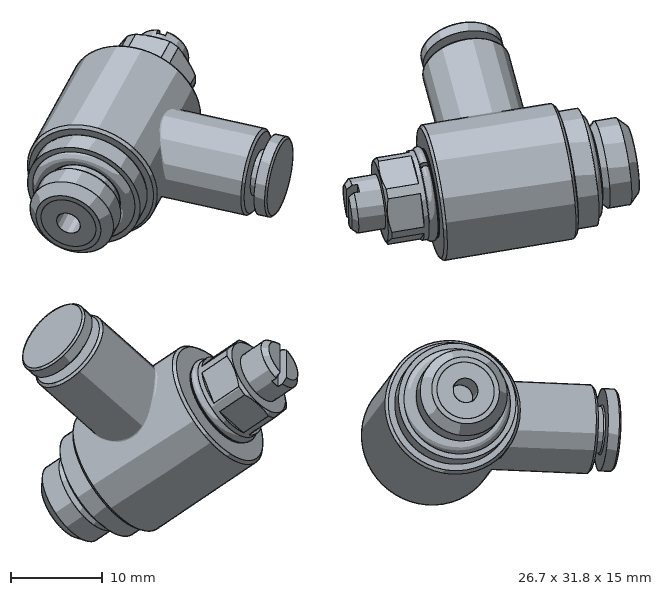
import cadquery as cq
import math


overall_length = 31.75
overall_width = 26.7

barrel_radius = 15.0 / 2
barrel_half_length = 7.5
barrel_chamfer = 0.32

flange_radius = 6.5
flange_chamfer = 0.15
flange_bottom_y = -9.97
oring_outer_radius = 5.9
oring_inner_radius = 4.22
oring_bottom_y = -10.63

neck_radius = 4.15
neck_bottom_y = -10.9
thread_radius = 4.82
thread_lead_in = thread_radius - neck_radius
thread_end_y = -15.05
thread_end_chamfer = 1.08

arm_radius = 4.85
arm_end_x = 16.63
arm_chamfer = 0.3
arm_root_fillet = 0.2
collar_neck_radius = 2.57
collar_neck_chamfer = 0.15
collar_radius = 4.5
collar_start_x = 17.75
collar_end_x = overall_width - barrel_radius
collar_chamfer = 0.22

core_radius = 3.17
core_hole_radius = 1.35
core_hole_depth = 3.17
shoulder_radius = 4.95
shoulder_top_y = 9.2
ring_wire_radius = 0.48
ring_center_radius = 4.75
ring_center_y = 8.13
ring_gap = 0.48
groove_width = 1.05
groove_floor_radius = 4.45
hex_apothem = 4.55
hex_top_y = 13.1
hex_chamfer_length = 0.3
hex_chamfer_depth = 0.5
screw_radius = 3.0
screw_chamfer = 0.6
screw_top_y = thread_end_y + overall_length
slot_width = 1.05
slot_depth = 1.2


def cylinder_y(radius, start_y, end_y):
    """Cylinder on the main axis, from start_y to the higher end_y."""
    base = cq.Workplane("XZ", origin=(0, start_y, 0))
    return base.circle(radius).extrude(start_y - end_y)


def make_seal_and_thread():
    """Flange, half-exposed O-ring, undercut neck and threaded end as one turned shape."""
    flange_top_y = -barrel_half_length
    oring_lowest = ((oring_inner_radius + oring_outer_radius) / 2, oring_bottom_y)
    profile = (
        cq.Workplane("XY")
        .moveTo(0, thread_end_y)
        .lineTo(thread_radius - thread_end_chamfer, thread_end_y)
        .lineTo(thread_radius, thread_end_y + thread_end_chamfer)
        .lineTo(thread_radius, neck_bottom_y - thread_lead_in)
        .lineTo(neck_radius, neck_bottom_y)
        .lineTo(neck_radius, flange_bottom_y)
        .lineTo(oring_inner_radius, flange_bottom_y)
        .threePointArc(oring_lowest, (oring_outer_radius, flange_bottom_y))
        .lineTo(flange_radius, flange_bottom_y)
        .lineTo(flange_radius, flange_top_y - flange_chamfer)
        .lineTo(flange_radius - flange_chamfer, flange_top_y)
        .lineTo(0, flange_top_y)
        .close()
    )
    return profile.revolve(360, (0, 0, 0), (0, 1, 0))


def make_barrel_with_arm():
    """Barrel and tube arm, with a small fillet where the arm leaves the barrel."""
    barrel = cylinder_y(barrel_radius, -barrel_half_length, barrel_half_length)
    barrel = barrel.faces("<Y or >Y").chamfer(barrel_chamfer)
    arm = cq.Workplane("YZ").circle(arm_radius).extrude(arm_end_x)
    arm = arm.faces(">X").chamfer(arm_chamfer)
    margin = 2 * arm_root_fillet
    root_box = cq.selectors.BoxSelector(
        (0, -arm_radius - margin, -arm_radius - margin),
        (barrel_radius + margin, arm_radius + margin, arm_radius + margin),
        boundingbox=True,
    )
    return barrel.union(arm).edges(root_box).fillet(arm_root_fillet)


def make_release_collar():
    """Narrow neck and disc at the end of the arm."""
    profile = (
        cq.Workplane("XY")
        .moveTo(arm_end_x, 0)
        .lineTo(arm_end_x, collar_neck_radius)
        .lineTo(collar_start_x - collar_neck_chamfer, collar_neck_radius)
        .lineTo(collar_start_x, collar_neck_radius + collar_neck_chamfer)
        .lineTo(collar_start_x, collar_radius)
        .lineTo(collar_end_x - collar_chamfer, collar_radius)
        .lineTo(collar_end_x, collar_radius - collar_chamfer)
        .lineTo(collar_end_x, 0)
        .close()
    )
    return profile.revolve(360, (0, 0, 0), (1, 0, 0))


def make_housing():
    """Barrel, arm, collar and threaded end, bored through for the valve core."""
    solid = make_barrel_with_arm().union(make_release_collar()).union(make_seal_and_thread())
    return solid.cut(cylinder_y(core_radius, thread_end_y, barrel_half_length))


def make_snap_ring():
    """Round-wire ring sitting in the shoulder groove, split at +Z."""
    ring = (
        cq.Workplane("XY")
        .center(ring_center_radius, ring_center_y)
        .circle(ring_wire_radius)
        .revolve(360, (-ring_center_radius, 0, 0), (-ring_center_radius, 1, 0))
    )
    split = cq.Workplane("XY", origin=(0, ring_center_y, 0)).box(
        ring_gap, 2 * ring_wire_radius, ring_center_radius + ring_wire_radius, centered=(True, True, False)
    )
    return ring.cut(split)


def make_shoulder():
    """Round shoulder resting on the barrel, with a groove holding the snap ring."""
    shoulder = cylinder_y(shoulder_radius, barrel_half_length, shoulder_top_y)
    groove_start_y = ring_center_y - groove_width / 2
    groove_end_y = ring_center_y + groove_width / 2
    groove = cylinder_y(shoulder_radius, groove_start_y, groove_end_y).cut(
        cylinder_y(groove_floor_radius, groove_start_y, groove_end_y)
    )
    return shoulder.cut(groove).union(make_snap_ring())


def make_hex_head():
    """Hexagon with two flats facing +Z and -Z, its corners turned down to the shoulder radius."""
    corner_diameter = 2 * hex_apothem / math.cos(math.pi / 6)
    hexagon = (
        cq.Workplane("XZ", origin=(0, shoulder_top_y, 0))
        .polygon(6, corner_diameter)
        .extrude(shoulder_top_y - hex_top_y)
    )
    turned = cylinder_y(shoulder_radius, shoulder_top_y, hex_top_y)
    turned = turned.faces(">Y").chamfer(hex_chamfer_length, hex_chamfer_depth)
    return hexagon.intersect(turned)


def make_adjusting_screw():
    """Round screw end with a chamfered tip and a driver slot running along Z."""
    screw = cylinder_y(screw_radius, hex_top_y, screw_top_y).faces(">Y").chamfer(screw_chamfer)
    slot = cq.Workplane("XY", origin=(0, screw_top_y - slot_depth / 2, 0)).box(
        slot_width, slot_depth, 2 * screw_radius
    )
    return screw.cut(slot)


def make_valve_core():
    """Stem through the housing bore, with shoulder, snap ring, hexagon and adjusting screw on top."""
    stem = cylinder_y(core_radius, thread_end_y, barrel_half_length)
    hole = cylinder_y(core_hole_radius, thread_end_y, thread_end_y + core_hole_depth)
    return (
        stem.cut(hole)
        .union(make_shoulder())
        .union(make_hex_head())
        .union(make_adjusting_screw())
    )


housing = make_housing()
valve_core = make_valve_core()

result = cq.Compound.makeCompound([housing.val(), valve_core.val()])